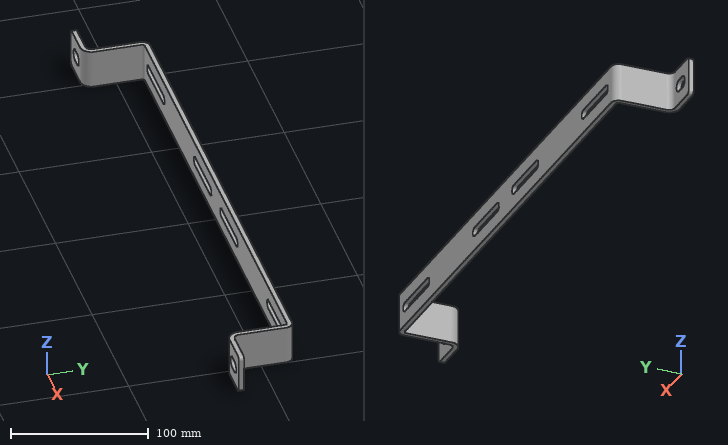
import cadquery as cq

total_length = 460.0
depth = 50.0
strip_width = 30.0
thickness = 4.0

foot_length = 30.0
web_bend_inner_radius = 2.0
web_bend_outer_radius = web_bend_inner_radius + thickness
foot_bend_inner_radius = 4.5
foot_bend_outer_radius = foot_bend_inner_radius + thickness
foot_corner_radius = 3.0

foot_slot_length = 15.0
foot_slot_width = 9.0
foot_slot_offset = total_length / 2 - foot_length / 2

web_slot_length = 48.0
web_slot_width = 7.0
web_slot_offsets = (36.0, 164.0)

half_length = total_length / 2
wall_outer_x = half_length - foot_length
wall_inner_x = wall_outer_x - thickness
web_inner_y = depth - thickness


def make_strip():
    """Hat-shaped strip: two feet, two walls and the web, with rounded bends."""
    outline = [
        (-half_length, 0),
        (-wall_inner_x, 0),
        (-wall_inner_x, web_inner_y),
        (wall_inner_x, web_inner_y),
        (wall_inner_x, 0),
        (half_length, 0),
        (half_length, thickness),
        (wall_outer_x, thickness),
        (wall_outer_x, depth),
        (-wall_outer_x, depth),
        (-wall_outer_x, thickness),
        (-half_length, thickness),
    ]
    strip = cq.Workplane("XY").polyline(outline).close().extrude(strip_width)
    strip = round_bend(strip, wall_inner_x, web_inner_y, web_bend_inner_radius)
    strip = round_bend(strip, wall_outer_x, depth, web_bend_outer_radius)
    strip = round_bend(strip, wall_outer_x, thickness, foot_bend_inner_radius)
    return round_bend(strip, wall_inner_x, 0, foot_bend_outer_radius)


def round_bend(strip, x, y, radius):
    """Round the full-width edge at (x, y) and its mirror edge at (-x, y)."""
    for side in (-1, 1):
        edge = cq.selectors.NearestToPointSelector((side * x, y, strip_width / 2))
        strip = strip.edges("|Z").edges(edge).fillet(radius)
    return strip


def round_foot_corners(strip):
    """Round the free corners of both feet."""
    return strip.faces("<X or >X").edges("|Y").fillet(foot_corner_radius)


def slot_cutter(centre_x, length, width):
    """Round-ended slot along X at mid width, running through the whole depth."""
    return (
        cq.Workplane("XZ")
        .center(centre_x, strip_width / 2)
        .slot2D(length, width)
        .extrude(-depth)
    )


def cut_slots(strip):
    """Cut the foot slots and the web slots, mirrored about mid length."""
    for side in (-1, 1):
        strip = strip.cut(slot_cutter(side * foot_slot_offset, foot_slot_length, foot_slot_width))
        for offset in web_slot_offsets:
            strip = strip.cut(slot_cutter(side * offset, web_slot_length, web_slot_width))
    return strip


result = cut_slots(round_foot_corners(make_strip()))